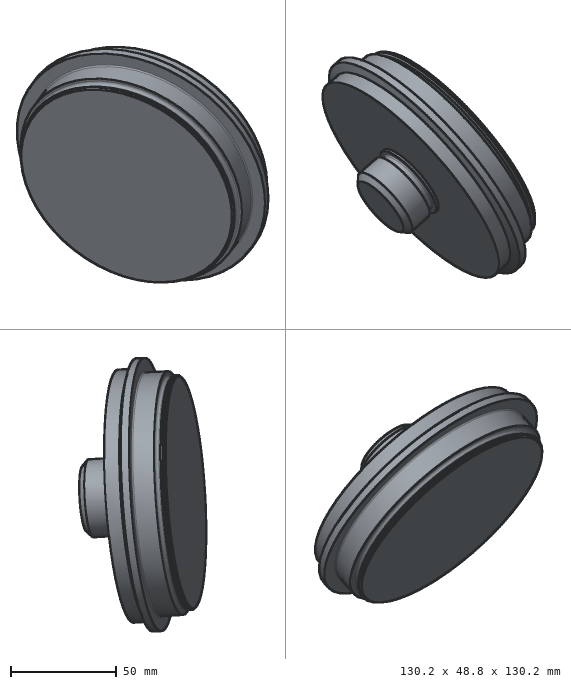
import cadquery as cq
import math

total_depth = 48.8

face_radius = 55.2
lip_radius = 56.0
lip_start_depth = 0.8
lip_end_depth = 1.5
groove_radius = 55.0
groove_start_depth = 2.7
groove_fillet = 1.7

spigot_radius = 58.0
spigot_depth = 5.2
spigot_fillet = 0.7

flange_radius = 65.1
flange_depth = 16.0
flange_edge_depth = 19.9
body_radius = 60.3
body_start_depth = 21.6
body_end_depth = 28.9

washer_radius = 19.1
washer_end_depth = 30.5
neck_radius = 16.3
neck_fillet = 0.7
knob_radius = 18.6
knob_depth = 34.4
knob_chamfer = 3.0


def fillet_to_rear_face(outline, radius, face_depth, size):
    """Run along a cylinder, then flare outward to meet the face behind it."""
    inset = size * (1 - math.sqrt(0.5))
    return (
        outline.lineTo(radius, face_depth - size)
        .threePointArc((radius + inset, face_depth - inset), (radius + size, face_depth))
    )


def fillet_from_front_face(outline, radius, face_depth, size):
    """Leave a face inward, then flare onto the cylinder behind it."""
    inset = size * (1 - math.sqrt(0.5))
    return (
        outline.lineTo(radius + size, face_depth)
        .threePointArc((radius + inset, face_depth + inset), (radius, face_depth + size))
    )


def add_nose(outline):
    outline = (
        outline.lineTo(face_radius, 0)
        .lineTo(lip_radius, lip_start_depth)
        .lineTo(lip_radius, lip_end_depth)
        .lineTo(groove_radius, groove_start_depth)
    )
    return fillet_to_rear_face(outline, groove_radius, spigot_depth, groove_fillet)


def add_flange(outline):
    outline = outline.lineTo(spigot_radius, spigot_depth)
    outline = fillet_to_rear_face(outline, spigot_radius, flange_depth, spigot_fillet)
    return (
        outline.lineTo(flange_radius, flange_depth)
        .lineTo(flange_radius, flange_edge_depth)
        .lineTo(body_radius, body_start_depth)
        .lineTo(body_radius, body_end_depth)
    )


def add_knob(outline):
    outline = outline.lineTo(washer_radius, body_end_depth).lineTo(washer_radius, washer_end_depth)
    outline = fillet_from_front_face(outline, neck_radius, washer_end_depth, neck_fillet)
    outline = fillet_to_rear_face(outline, neck_radius, knob_depth, neck_fillet)
    return (
        outline.lineTo(knob_radius, knob_depth)
        .lineTo(knob_radius, total_depth - knob_chamfer)
        .lineTo(knob_radius - knob_chamfer, total_depth)
        .lineTo(0, total_depth)
    )


profile = add_knob(add_flange(add_nose(cq.Workplane("XY").moveTo(0, 0)))).close()
turned = profile.revolve(360, (0, 0, 0), (0, 1, 0))

result = turned.translate((0, -total_depth / 2, 0))